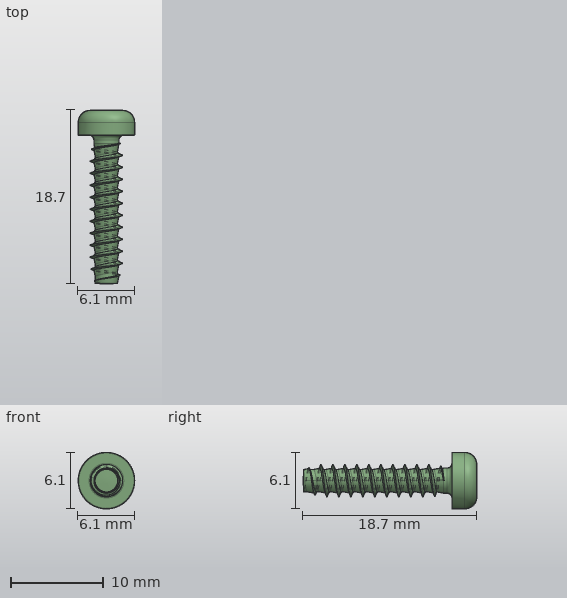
import cadquery as cq
import math


screw_length = 18.69
head_radius = 3.05
head_height = 2.7
dome_radius = 1.3
head_rim_fillet = 0.07

neck_radius = 1.36
neck_fillet = 0.5
neck_end = 3.57
core_radius = 1.21
end_point_height = 0.05
end_edge = screw_length - end_point_height

pitch = 1.29
crest_start = 3.55
crest_radius = 1.748
kink_radius = 1.467
kink_distance = 0.103
head_side_root_width = 0.28
tip_side_root_width = 0.15

root_high_radius = 1.336
root_low_distance = 0.795
root_slope = (root_high_radius - core_radius) / (root_low_distance - tip_side_root_width)

run_in_turns = 1
run_in_drop = 0.25
full_height_turns = 9.25
run_out_turns = 1.5
run_out_drop = 0.533
root_fade_turns = 0.75
root_fade_drop = 0.15

bury_depth = 0.047

FULL_TURN = 360
HALF_TURN = 180
QUARTER_TURN = 90
STRAIGHT_HELIX = 360


def make_body():
    """Head, neck and core as one turned shape."""
    diagonal = math.sqrt(0.5)
    dome_flat = head_radius - dome_radius
    rim_flat = head_radius - head_rim_fillet
    neck_cone_end = neck_end + (neck_radius - core_radius) / root_slope
    fillet_centre_radius = neck_radius + neck_fillet
    fillet_end = head_height + neck_fillet
    outline = (
        cq.Workplane("XY")
        .lineTo(dome_flat, 0)
        .threePointArc(
            (dome_flat + dome_radius * diagonal, dome_radius * (1 - diagonal)),
            (head_radius, dome_radius),
        )
        .lineTo(head_radius, head_height - head_rim_fillet)
        .threePointArc(
            (
                rim_flat + head_rim_fillet * diagonal,
                head_height - head_rim_fillet * (1 - diagonal),
            ),
            (rim_flat, head_height),
        )
        .lineTo(fillet_centre_radius, head_height)
        .threePointArc(
            (
                fillet_centre_radius - neck_fillet * diagonal,
                fillet_end - neck_fillet * diagonal,
            ),
            (neck_radius, fillet_end),
        )
        .lineTo(neck_radius, neck_end)
        .lineTo(core_radius, neck_cone_end)
        .lineTo(core_radius, end_edge)
        .lineTo(0, screw_length)
    )
    body = outline.close().revolve(FULL_TURN, (0, 0, 0), (0, 1, 0))
    return body.rotate((0, 0, 0), (1, 0, 0), QUARTER_TURN)


def make_rail(start_radius, end_radius, start_turn, end_turn, offset):
    """Helical edge between two turns of the thread, evenly flared when its radii differ.

    The offset is how far the edge lies past the crest, toward the tip.
    """
    rise = (end_turn - start_turn) * pitch
    cone_angle = math.atan2(abs(end_radius - start_radius), rise)
    cone_degrees = math.degrees(cone_angle) if start_radius != end_radius else STRAIGHT_HELIX
    slant = 1 / math.cos(cone_angle)
    small_radius = min(start_radius, end_radius)
    rail = cq.Wire.makeHelix(pitch * slant, rise * slant, small_radius, angle=cone_degrees)

    small_end_turn = start_turn
    if end_radius < start_radius:
        rail = rail.rotate(cq.Vector(), cq.Vector(1, 0, 0), HALF_TURN)
        small_end_turn = end_turn
    rail = rail.rotate(cq.Vector(), cq.Vector(0, 0, 1), FULL_TURN * small_end_turn)
    depth = crest_start + small_end_turn * pitch + offset
    return rail.translate(cq.Vector(0, 0, depth)).Edges()[0]


def make_end_face(section, turn, drop):
    """Flat radial face that closes a ridge at the given turn."""
    angle = 2 * math.pi * turn
    corners = []
    for radius, offset in section:
        x = (radius - drop) * math.cos(angle)
        y = (radius - drop) * math.sin(angle)
        corners.append(cq.Vector(x, y, crest_start + turn * pitch + offset))
    return cq.Face.makeFromWires(cq.Wire.makePolygon(corners, close=True))


def make_ridge(section, stations):
    """Helical ridge with a closed (radius, offset past crest) section.

    Each station is a turn and how far the section has sunk toward the axis there.
    """
    faces = [make_end_face(section, *stations[0]), make_end_face(section, *stations[-1])]
    for (start_turn, start_drop), (end_turn, end_drop) in zip(stations, stations[1:]):
        rails = []
        for radius, offset in section:
            ends = (radius - start_drop, radius - end_drop)
            rails.append(make_rail(*ends, start_turn, end_turn, offset))
        for rail, next_rail in zip(rails, rails[1:] + rails[:1]):
            faces.append(cq.Face.makeRuledSurface(rail, next_rail))
    return cq.Workplane(cq.Solid.makeSolid(cq.Shell.makeShell(faces)))


buried_radius = core_radius - bury_depth

head_flank_slope = (head_side_root_width - kink_distance) / (kink_radius - core_radius)
tip_flank_slope = tip_side_root_width / (crest_radius - root_high_radius)

crest_section = [
    (buried_radius, -head_side_root_width - bury_depth * head_flank_slope),
    (kink_radius, -kink_distance),
    (crest_radius, 0),
    (buried_radius, (crest_radius - buried_radius) * tip_flank_slope),
]
root_section = [
    (buried_radius, 0),
    (root_high_radius + tip_side_root_width * root_slope, 0),
    (buried_radius, root_low_distance + bury_depth / root_slope),
]

run_out_start = run_in_turns + full_height_turns
thread_end = run_out_start + run_out_turns
root_fade_start = thread_end - root_fade_turns

crest_stations = [(0, run_in_drop)]
for turn in range(run_in_turns, math.ceil(run_out_start)):
    crest_stations.append((turn, 0))
crest_stations += [(run_out_start, 0), (thread_end, run_out_drop)]

root_stations = [(turn, 0) for turn in range(math.ceil(root_fade_start))]
root_stations += [(root_fade_start, 0), (thread_end, root_fade_drop)]

end_trim = cq.Workplane("XY").circle(head_radius).extrude(end_edge)
crest = make_ridge(crest_section, crest_stations).intersect(end_trim, clean=False)
root = make_ridge(root_section, root_stations).intersect(end_trim, clean=False)
screw = make_body().union(crest, clean=False).union(root, clean=False)

result = screw.solids().rotate((0, 0, 0), (1, 0, 0), QUARTER_TURN).translate((0, head_height, 0))